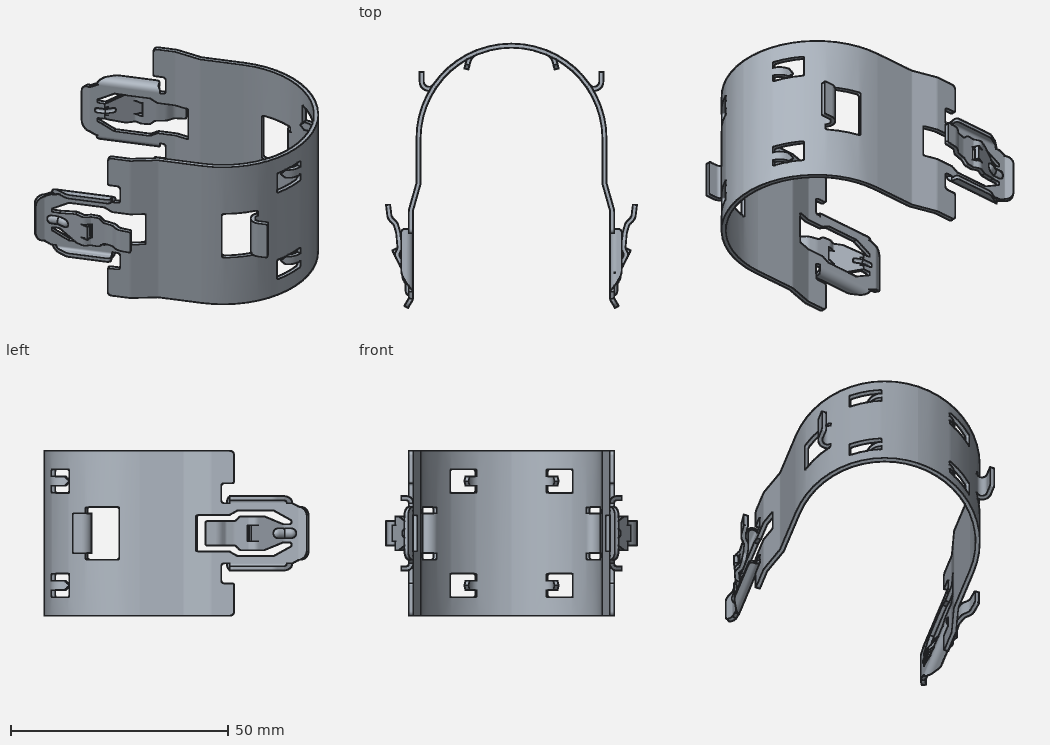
import cadquery as cq
import math


SHEET = 1.0
CLIP_WIDTH = 38.0
HALF_WIDTH = CLIP_WIDTH / 2
BOW_OUTER_R = 21.9
BOW_INNER_R = BOW_OUTER_R - SHEET
BOW_MID_R = BOW_OUTER_R - SHEET / 2
OVERALL_LENGTH = 60.9
TIP_Y = BOW_OUTER_R - OVERALL_LENGTH

LEG_OUTER_X = 23.65
LEG_INNER_X = LEG_OUTER_X - SHEET
LEG_MID_X = LEG_OUTER_X - SHEET / 2
FLARE_START_Y = -10.3
FLARE_END_Y = -16.5
LEG_BEND_R = 1.5
LIP_BEND_Y = -36.85
LIP_ANGLE = math.radians(30)
LIP_BEND_R = 0.9
LIP_HALF_WIDTH = 6.1
LIP_CORNER_R = 2.15

TAB_END_Y = -21.83
TAB_INNER_Z = 11.5
TAB_OUTER_CORNER_R = 1.0
TAB_INNER_CORNER_R = 0.5
NOTCH_Y = -18.87
NOTCH_CORNER_R = 0.65
FRAME_HALF_WIDTH = 6.95
FRAME_TAPER_Y = -35.2

FLANGE_OUTER_X = 25.4
FLANGE_OUTER_Z = 8.6
FLANGE_BEND_R = 1.1
FLANGE_START_Y = -20.77
FLANGE_RELIEF = 0.65
FLANGE_CORNER_R = 0.8
FLANGE_SLANT_R = 2.6
FLANGE_SLANT_START_Y = -31.05
FLANGE_SLANT_MID_Y = -33.35
FLANGE_SLANT_MID_X = 24.1

WINDOW_START_Y = -13.03
WINDOW_NECK_HALF = 4.18
WINDOW_NECK_END_Y = -20.75
WINDOW_BODY_HALF = 5.2
WINDOW_BODY_START_Y = -22.55
WINDOW_BODY_END_Y = -30.95
WINDOW_END_Y = -35.0
WINDOW_END_HALF = 2.95
WINDOW_START_CORNER_R = 0.35
WINDOW_END_CORNER_R = 0.4

OVERALL_WIDTH = 57.82
TONGUE_TIP_X = OVERALL_WIDTH / 2
TONGUE_TIP_Y = -15.2
TONGUE_TIP_CORNER_R = 0.45
TONGUE_GRIP_HALF = 2.83
TONGUE_SHOULDER_START_Y = -22.05
TONGUE_SHOULDER_END_Y = -23.2
TONGUE_SHOULDER_R = 0.7
TONGUE_BODY_HALF = 3.92
TONGUE_TAPER_Y = -28.75
TONGUE_ROOT_HALF = 2.12
TONGUE_ROOT_Y = -33.1
TONGUE_BEND_Y = -33.2
TONGUE_SLOPE = math.radians(26.7)
SLOPE_NORMAL = (math.cos(TONGUE_SLOPE), -math.sin(TONGUE_SLOPE))
TONGUE_BEND_R = 2.5
CREST_Y = -26.75
CREST_BEND_R = 1.0
CREST_FOOT = (25.75, -25.2)
CREST_FOOT_BEND_R = 0.7
GRIP_LEAN = (26.07, -21.65)
GRIP_LEAN_BEND_R = 4.0
GRIP_KICK = (26.65, -19.65)
GRIP_KICK_BEND_R = 1.5
GRIP_RETURN = (28.05, -18.2)
GRIP_RETURN_BEND_R = 2.0
PAWL_HALF = 1.8
PAWL_SLOT_END_Y = -24.9
PAWL_SPLIT_Y = -27.4
PAWL_TIP_Y = -25.5

RIB_R = 1.2
RIB_DEPTH = 0.45
RIB_TOP_Y = -31.6
RIB_END_Y = -35.0
RIB_GROOVE_R = 0.6
RIB_CROSSING = 0.4

HOOK_HALF = 4.58
HOOK_BEND_R = 2.2
HOOK_ANGLE = 34.75
HOOK_TIP_Y = 15.36
HOOK_CORNER_R = 0.35
HOOK_WINDOW_END_ANGLE = 12.2
HOOK_WINDOW_HALF = 6.05
HOOK_WINDOW_CORNER_R = 0.6

BARB_Z = 12.0
BARB_HALF = 1.08
BARB_ANGLE = 67.5
BARB_BEND_R = 2.5
BARB_TURN = 53.0
BARB_LENGTH = 1.8
BARB_POINT = BARB_HALF
BARB_WINDOW_END_ANGLE = 47.6
BARB_WINDOW_HALF = 2.7
BARB_WINDOW_CORNER_R = 0.4

CUT_CLEARANCE = 2.0
CUT_REACH = 60.0


def polar(radius, degrees, centre=(0, 0)):
    angle = math.radians(degrees)
    return (centre[0] + radius * math.cos(angle), centre[1] + radius * math.sin(angle))


def unit(start, end):
    length = math.dist(start, end)
    return ((end[0] - start[0]) / length, (end[1] - start[1]) / length)


def left_of(direction):
    return (-direction[1], direction[0])


def shifted(point, direction, distance):
    return (point[0] + direction[0] * distance, point[1] + direction[1] * distance)


LIP_DIRECTION = (math.sin(LIP_ANGLE), -math.cos(LIP_ANGLE))
LIP_LENGTH = (LIP_BEND_Y - TIP_Y - SHEET / 2 * math.sin(LIP_ANGLE)) / math.cos(LIP_ANGLE)
LIP_BEND = (LEG_MID_X, LIP_BEND_Y)
LIP_END = shifted(LIP_BEND, LIP_DIRECTION, LIP_LENGTH)


def bent_strip(plane_name, path, bend_radii, width):
    """Sheet strip centred on a plane, with a mid-surface path and mid-surface bend radii."""
    plane = cq.Plane.named(plane_name)
    headings = [unit(start, end) for start, end in zip(path, path[1:])]
    turns = [
        math.remainder(math.atan2(*after[::-1]) - math.atan2(*before[::-1]), 2 * math.pi)
        for before, after in zip(headings, headings[1:])
    ]
    half_sheet = SHEET / 2
    faces = {}
    for offset in (half_sheet, -half_sheet):
        points = [shifted(path[0], left_of(headings[0]), offset)]
        for corner, before, turn in zip(path[1:-1], headings, turns):
            miter = shifted(corner, before, -offset * math.tan(turn / 2))
            points.append(shifted(miter, left_of(before), offset))
        points.append(shifted(path[-1], left_of(headings[-1]), offset))
        faces[offset] = points

    outline = faces[half_sheet] + faces[-half_sheet][::-1]
    strip = cq.Workplane(plane).polyline(outline).close().extrude(width / 2, both=True)
    for offset, points in faces.items():
        for corner, turn, radius in zip(points[1:-1], turns, bend_radii):
            edge = cq.selectors.NearestToPointSelector(plane.toWorldCoords(corner))
            strip = strip.edges(edge).fillet(radius - math.copysign(offset, turn * offset))
    return strip


def plate_from_outline(half_outline):
    """Solid along X over a (y, z) outline given for z >= 0 and mirrored across z = 0."""
    mirrored = [(y, -z) for y, z in reversed(half_outline)]
    return cq.Workplane("YZ").polyline(half_outline + mirrored).close().extrude(CUT_REACH)


def round_corners(solid, corners, radius):
    """Fillet the X-direction edges of a plate at the (y, +/-z) corners."""
    for y, z in corners:
        for side in (1, -1):
            middle = (CUT_REACH / 2, y, side * z)
            solid = solid.edges(cq.selectors.NearestToPointSelector(middle)).fillet(radius)
    return solid


def make_band():
    """Bow, flared leg and end lip at full width."""
    path = [
        (BOW_MID_R, 0),
        (BOW_MID_R, FLARE_START_Y),
        (LEG_MID_X, FLARE_END_Y),
        LIP_BEND,
        LIP_END,
    ]
    bow = ring_sector(BOW_INNER_R, BOW_OUTER_R, 0, 90, HALF_WIDTH)
    return bow.union(bent_strip("XY", path, [LEG_BEND_R, LEG_BEND_R, LIP_BEND_R], CLIP_WIDTH))


def make_lip_corners():
    """Waste outside the two rounded corners of the lip, cut square to the lip."""
    plane = cq.Plane((*LIP_END, 0), (*LIP_DIRECTION, 0), (*left_of(LIP_DIRECTION), 0))
    corner_z = LIP_HALF_WIDTH - LIP_CORNER_R
    corners = cq.Workplane(plane).pushPoints([(0, LIP_HALF_WIDTH), (0, -LIP_HALF_WIDTH)])
    corners = corners.rect(2 * LIP_CORNER_R, 2 * LIP_CORNER_R).extrude(SHEET, both=True)
    rounds = cq.Workplane(plane).pushPoints([(-LIP_CORNER_R, corner_z), (-LIP_CORNER_R, -corner_z)])
    return corners.cut(rounds.circle(LIP_CORNER_R).extrude(SHEET, both=True))


def make_leg_outline():
    """Side outline of the band: tabs, notches and the narrower frame with its lip."""
    tab_outer = (TAB_END_Y, HALF_WIDTH)
    tab_inner = (TAB_END_Y, TAB_INNER_Z)
    notch_outer = (NOTCH_Y, TAB_INNER_Z)
    notch_inner = (NOTCH_Y, FRAME_HALF_WIDTH)
    outline = plate_from_outline([
        (BOW_OUTER_R + CUT_CLEARANCE, HALF_WIDTH),
        tab_outer,
        tab_inner,
        notch_outer,
        notch_inner,
        (FRAME_TAPER_Y, FRAME_HALF_WIDTH),
        (LIP_BEND_Y, LIP_HALF_WIDTH),
        (TIP_Y, LIP_HALF_WIDTH),
    ])
    outline = round_corners(outline, [tab_outer], TAB_OUTER_CORNER_R)
    outline = round_corners(outline, [tab_inner], TAB_INNER_CORNER_R)
    return round_corners(outline, [notch_outer, notch_inner], NOTCH_CORNER_R)


def make_leg_window():
    """Opening around the spring tongue; its upper edge is square to the flare."""
    end_corners = [(WINDOW_END_Y, WINDOW_END_HALF), (WINDOW_END_Y, TONGUE_ROOT_HALF)]
    window = plate_from_outline([
        (FLARE_END_Y, WINDOW_NECK_HALF),
        (WINDOW_NECK_END_Y, WINDOW_NECK_HALF),
        (WINDOW_BODY_START_Y, WINDOW_BODY_HALF),
        (WINDOW_BODY_END_Y, WINDOW_BODY_HALF),
        *end_corners,
        (TONGUE_BEND_Y, TONGUE_ROOT_HALF),
    ])
    window = round_corners(window, end_corners, WINDOW_END_CORNER_R)

    flare_run = FLARE_START_Y - FLARE_END_Y
    flare_slope = (LEG_OUTER_X - BOW_OUTER_R) / flare_run
    start_x = BOW_OUTER_R + flare_slope * (FLARE_START_Y - WINDOW_START_Y)
    neck = (
        cq.Workplane("XY")
        .box(2 * CUT_CLEARANCE, flare_run, 2 * WINDOW_NECK_HALF)
        .edges("|X and >Y")
        .fillet(WINDOW_START_CORNER_R)
        .translate((0, -flare_run / 2, 0))
        .rotate((0, 0, 0), (0, 0, 1), math.degrees(math.atan(flare_slope)))
        .translate((start_x, WINDOW_START_Y, 0))
    )
    return window.union(neck)


def make_flange(side):
    """Edge of the frame bent outwards, with a slanted lower end."""
    mid_z = side * (FLANGE_OUTER_Z - SHEET / 2)
    root_z = side * (FRAME_HALF_WIDTH - SHEET)
    path = [(LEG_MID_X, root_z), (LEG_MID_X, mid_z), (FLANGE_OUTER_X, mid_z)]
    strip = bent_strip("XZ", path, [FLANGE_BEND_R], CUT_REACH * 2)
    outline = (
        cq.Workplane("XY")
        .polyline([
            (LEG_INNER_X, FLANGE_START_Y + FLANGE_RELIEF),
            (LEG_OUTER_X, FLANGE_START_Y),
            (FLANGE_OUTER_X, FLANGE_START_Y),
            (FLANGE_OUTER_X, FLANGE_SLANT_START_Y),
            (FLANGE_SLANT_MID_X, FLANGE_SLANT_MID_Y),
            (LEG_INNER_X, FRAME_TAPER_Y),
        ])
        .close()
        .extrude(HALF_WIDTH, both=True)
    )
    for y, radius in ((FLANGE_START_Y, FLANGE_CORNER_R), (FLANGE_SLANT_START_Y, FLANGE_SLANT_R)):
        corner = cq.selectors.NearestToPointSelector((FLANGE_OUTER_X, y, 0))
        outline = outline.edges(corner).fillet(radius)
    return strip.intersect(outline)


def slope_point(y):
    """Mid-surface point of the tongue's lower slope."""
    return (LEG_MID_X + (y - TONGUE_BEND_Y) * math.tan(TONGUE_SLOPE), y)


def make_tongue():
    """Spring tongue with a crest on each side of a straight outward pawl."""
    path = [
        (LEG_MID_X, WINDOW_END_Y),
        (LEG_MID_X, TONGUE_BEND_Y),
        slope_point(CREST_Y),
        CREST_FOOT,
        GRIP_LEAN,
        GRIP_KICK,
        GRIP_RETURN,
        (TONGUE_TIP_X - SHEET / 2, TONGUE_TIP_Y),
    ]
    radii = [
        TONGUE_BEND_R,
        CREST_BEND_R,
        CREST_FOOT_BEND_R,
        GRIP_LEAN_BEND_R,
        GRIP_KICK_BEND_R,
        GRIP_RETURN_BEND_R,
    ]
    spring = bent_strip("XY", path, radii, 2 * TONGUE_BODY_HALF)
    tip_corner = (TONGUE_TIP_Y, TONGUE_GRIP_HALF)
    shoulder = [
        (TONGUE_SHOULDER_START_Y, TONGUE_GRIP_HALF),
        (TONGUE_SHOULDER_END_Y, TONGUE_BODY_HALF),
    ]
    outline = plate_from_outline([
        tip_corner,
        *shoulder,
        (TONGUE_TAPER_Y, TONGUE_BODY_HALF),
        (TONGUE_ROOT_Y, TONGUE_ROOT_HALF),
        (WINDOW_END_Y, TONGUE_ROOT_HALF),
    ])
    outline = round_corners(outline, [tip_corner], TONGUE_TIP_CORNER_R)
    outline = round_corners(outline, shoulder, TONGUE_SHOULDER_R)
    pawl_slot = plate_from_outline([(PAWL_SLOT_END_Y, PAWL_HALF), (PAWL_SPLIT_Y, PAWL_HALF)])
    pawl_path = [slope_point(TONGUE_TAPER_Y), slope_point(PAWL_TIP_Y)]
    pawl = bent_strip("XY", pawl_path, [], 2 * PAWL_HALF)
    return spring.cut(pawl_slot).union(pawl).intersect(outline)


def ball_ended_rod(start, end, radius):
    """Round rod with a half ball beyond each end, both ends lying in z = 0."""
    length = math.dist(start, end)
    heading = unit(start, end)
    plane = cq.Plane((*start, 0), (*heading, 0), (0, 0, 1))
    return (
        cq.Workplane(plane)
        .moveTo(-radius, 0)
        .threePointArc(polar(radius, 135), (0, radius))
        .lineTo(length, radius)
        .threePointArc(polar(radius, 45, (length, 0)), (length + radius, 0))
        .close()
        .revolve(360, (0, 0), (1, 0))
    )


def bent_rod(points, radius):
    """Two ball-ended rods that run a little past the bend where they cross."""
    start, bend, end = points
    lower = ball_ended_rod(start, shifted(bend, unit(start, bend), RIB_CROSSING), radius)
    upper = ball_ended_rod(shifted(bend, unit(end, bend), RIB_CROSSING), end, radius)
    return lower.union(upper)


def rib_points(depth):
    """Rib axis at a depth under the outer face of the leg and the tongue slope."""
    outward = SHEET / 2 - depth
    top = shifted(slope_point(RIB_TOP_Y), SLOPE_NORMAL, outward)
    bend_x = LEG_MID_X + outward
    bend_y = TONGUE_BEND_Y - outward * math.tan(TONGUE_SLOPE / 2)
    return [(bend_x, RIB_END_Y), (bend_x, bend_y), top]


def ring_sector(inner_r, outer_r, start, end, half_height, centre=(0, 0)):
    """Sector of a ring between two angles, centred on z = 0."""
    middle = (start + end) / 2
    return (
        cq.Workplane("XY")
        .moveTo(*polar(inner_r, start, centre))
        .lineTo(*polar(outer_r, start, centre))
        .threePointArc(polar(outer_r, middle, centre), polar(outer_r, end, centre))
        .lineTo(*polar(inner_r, end, centre))
        .threePointArc(polar(inner_r, middle, centre), polar(inner_r, start, centre))
        .close()
        .extrude(half_height, both=True)
    )


def make_bow_window(start, end, half_height, corner_r):
    sector = ring_sector(
        BOW_INNER_R - CUT_CLEARANCE, BOW_OUTER_R + CUT_CLEARANCE, start, end, half_height
    )
    return sector.edges("%LINE").edges("#Z").fillet(corner_r)


def make_hook():
    """Strip curled outwards from the upper window edge, ending in a straight tip along +Y."""
    centre = polar(BOW_INNER_R + HOOK_BEND_R, HOOK_ANGLE)
    inner_bend_r = HOOK_BEND_R - SHEET
    bend = ring_sector(inner_bend_r, HOOK_BEND_R, HOOK_ANGLE + 180, 360, HOOK_HALF, centre)
    tip = (
        cq.Workplane("XY")
        .box(SHEET, HOOK_TIP_Y - centre[1], 2 * HOOK_HALF, centered=(False, False, True))
        .edges("|X and >Y")
        .fillet(HOOK_CORNER_R)
        .translate((centre[0] + inner_bend_r, centre[1], 0))
    )
    return bend.union(tip)


def make_barb():
    """Narrow pointed strip bent inwards from the upper window edge, centred on z = 0."""
    centre = polar(BOW_INNER_R - BARB_BEND_R, BARB_ANGLE)
    end_angle = BARB_ANGLE - BARB_TURN
    bend = ring_sector(BARB_BEND_R, BARB_BEND_R + SHEET, end_angle, BARB_ANGLE, BARB_HALF, centre)
    shoulder = BARB_LENGTH - BARB_POINT
    point = (
        cq.Workplane("YZ")
        .polyline([
            (0, BARB_HALF),
            (-shoulder, BARB_HALF),
            (-BARB_LENGTH, 0),
            (-shoulder, -BARB_HALF),
            (0, -BARB_HALF),
        ])
        .close()
        .extrude(SHEET)
        .translate((BARB_BEND_R, 0, 0))
        .rotate((0, 0, 0), (0, 0, 1), end_angle)
        .translate((*centre, 0))
    )
    return bend.union(point)


def add_rib(half):
    """Dart pressed outwards across the tongue root, with its groove on the inner face."""
    inner = -SHEET / 2
    inner_top = shifted(slope_point(RIB_TOP_Y + RIB_R), SLOPE_NORMAL, inner)
    outer_side = (
        cq.Workplane("XY")
        .polyline([
            (LEG_INNER_X, LIP_BEND_Y),
            (LEG_INNER_X, TONGUE_BEND_Y - inner * math.tan(TONGUE_SLOPE / 2)),
            inner_top,
            (TONGUE_TIP_X, inner_top[1]),
            (TONGUE_TIP_X, LIP_BEND_Y),
        ])
        .close()
        .extrude(RIB_R, both=True)
    )
    rib = bent_rod(rib_points(RIB_DEPTH), RIB_R).intersect(outer_side)
    groove = bent_rod(rib_points(SHEET), RIB_GROOVE_R)
    return half.union(rib).cut(groove)


def make_half():
    half = make_band().intersect(make_leg_outline()).cut(make_leg_window()).cut(make_lip_corners())
    for side in (1, -1):
        half = half.union(make_flange(side))
    half = add_rib(half.union(make_tongue()))

    half = half.cut(make_bow_window(
        HOOK_WINDOW_END_ANGLE, HOOK_ANGLE, HOOK_WINDOW_HALF, HOOK_WINDOW_CORNER_R
    ))
    half = half.union(make_hook())
    barb_window = make_bow_window(
        BARB_WINDOW_END_ANGLE, BARB_ANGLE, BARB_WINDOW_HALF, BARB_WINDOW_CORNER_R
    )
    barb = make_barb()
    for z in (BARB_Z, -BARB_Z):
        half = half.cut(barb_window.translate((0, 0, z))).union(barb.translate((0, 0, z)))
    return half


right_half = make_half()
result = right_half.union(right_half.mirror("YZ"), clean=False)